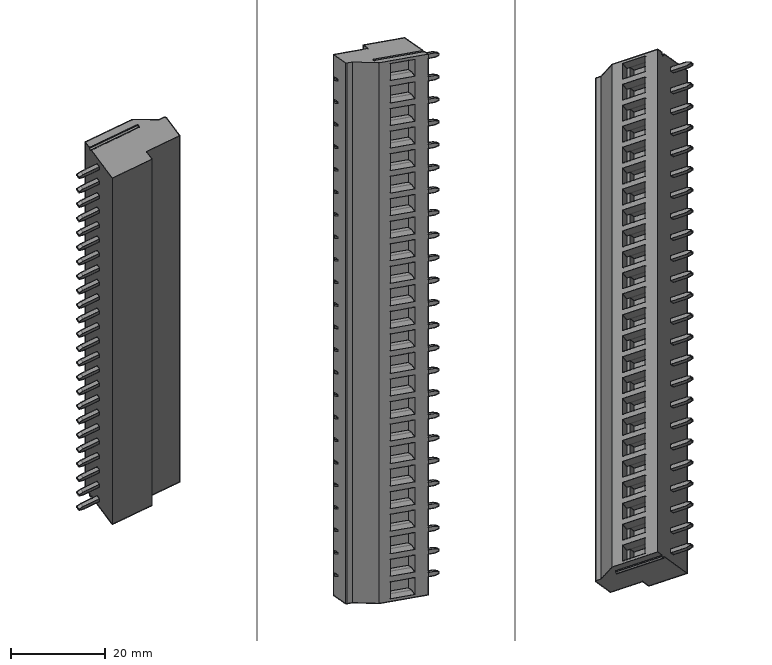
import cadquery as cq

total_height = 122.5
pole_count = 24
tongue_height = 0.6
body_height = total_height - tongue_height
pitch = body_height / pole_count
body_width = 11.1
body_depth = 18.0

bevel_start_y = 11.6
bevel_end_y = 16.4
bevel_width = 3.0
back_chamfer = 0.2
step_x = 8.8
step_y = 9.8

tongue_x = 2.1
tongue_width = 0.7
tongue_point_height = 0.31
tongue_length = 11.9

entry_y = 3.2
entry_length = 5.8
entry_height = 3.8
lead_in_depth = 1.6
bore_length = 4.9
bore_height = 2.8
bore_end_x = 3.1

pin_x = 5.4
pin_size = 1.0
pin_length = 5.0
pin_tip_length = 1.0
pin_tip_size = 0.4

bump_x = 7.5
bump_width = 1.5
bump_height = 0.5
bump_thickness = 0.4


def make_body():
    return (
        cq.Workplane("XY")
        .lineTo(body_width, 0)
        .lineTo(body_width, step_y)
        .lineTo(step_x, step_y)
        .lineTo(step_x, body_depth)
        .lineTo(bevel_width + back_chamfer, body_depth)
        .lineTo(bevel_width, body_depth - back_chamfer)
        .lineTo(bevel_width, bevel_end_y)
        .lineTo(0, bevel_start_y)
        .close()
        .extrude(body_height)
    )


def make_tongue(base_z):
    """Tongue hanging down from base_z, running back from the pin face."""
    half_width = tongue_width / 2
    shoulder_z = tongue_point_height - tongue_height
    return (
        cq.Workplane("XZ")
        .moveTo(-half_width, 0)
        .lineTo(-half_width, shoulder_z)
        .lineTo(0, -tongue_height)
        .lineTo(half_width, shoulder_z)
        .lineTo(half_width, 0)
        .close()
        .extrude(-tongue_length)
        .translate((tongue_x, 0, base_z))
    )


def make_wire_entry(z):
    """Cutting shape for one wire entry centred at height z."""
    lead_in = (
        cq.Workplane("XZ")
        .moveTo(0, -entry_height / 2)
        .lineTo(lead_in_depth, -bore_height / 2)
        .lineTo(lead_in_depth, bore_height / 2)
        .lineTo(0, entry_height / 2)
        .close()
        .extrude(-entry_length)
        .translate((0, entry_y, z))
    )
    bore = (
        cq.Workplane("XY")
        .box(bore_end_x, bore_length, bore_height, centered=(False, False, True))
        .translate((0, entry_y, z))
    )
    return lead_in.union(bore)


def make_solder_pin(z):
    half_size = pin_size / 2
    half_tip = pin_tip_size / 2
    taper_y = pin_tip_length - pin_length
    return (
        cq.Workplane("YZ")
        .moveTo(0, -half_size)
        .lineTo(0, half_size)
        .lineTo(taper_y, half_size)
        .lineTo(-pin_length, half_tip)
        .lineTo(-pin_length, -half_tip)
        .lineTo(taper_y, -half_size)
        .close()
        .extrude(pin_size)
        .translate((pin_x - half_size, 0, z))
    )


def make_bump(z):
    half_width = bump_width / 2
    return (
        cq.Workplane("XY")
        .moveTo(-half_width, 0)
        .threePointArc((0, bump_height), (half_width, 0))
        .close()
        .extrude(bump_thickness)
        .translate((bump_x, body_depth, z - bump_thickness / 2))
    )


housing = make_body().union(make_tongue(0)).cut(make_tongue(body_height))

for pole in range(pole_count):
    pole_z = (pole + 0.5) * pitch
    housing = housing.cut(make_wire_entry(pole_z)).union(make_solder_pin(pole_z))

for gap in range(1, pole_count):
    housing = housing.union(make_bump(gap * pitch))

result = housing